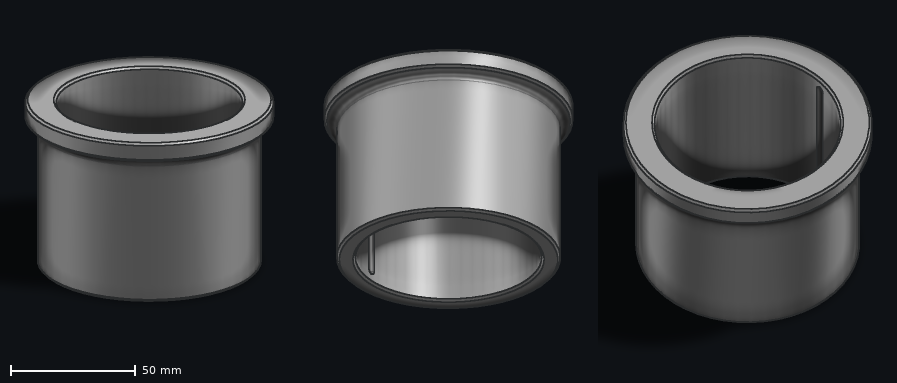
import cadquery as cq

flange_diameter = 100
sleeve_diameter = 90
bore_diameter = 75
height = 70
flange_thickness = 8
edge_chamfer = 1
neck_radius = 3.5

groove_radius = 2
groove_depth = 1.5
groove_end_margin = 4

flange_radius = flange_diameter / 2
sleeve_radius = sleeve_diameter / 2
bore_radius = bore_diameter / 2
groove_center_radius = bore_radius + groove_depth - groove_radius
flange_bottom = height - flange_thickness


def bushing_body():
    """Revolve the half section, with a concave neck under the flange."""
    section = (
        cq.Workplane("XZ")
        .moveTo(bore_radius + edge_chamfer, 0)
        .lineTo(sleeve_radius - edge_chamfer, 0)
        .lineTo(sleeve_radius, edge_chamfer)
        .lineTo(sleeve_radius, flange_bottom - neck_radius)
        .radiusArc((sleeve_radius + neck_radius, flange_bottom), neck_radius)
        .lineTo(flange_radius - edge_chamfer, flange_bottom)
        .lineTo(flange_radius, flange_bottom + edge_chamfer)
        .lineTo(flange_radius, height - edge_chamfer)
        .lineTo(flange_radius - edge_chamfer, height)
        .lineTo(bore_radius + edge_chamfer, height)
        .lineTo(bore_radius, height - edge_chamfer)
        .lineTo(bore_radius, edge_chamfer)
        .close()
    )
    return section.revolve(360, (0, 0, 0), (0, 1, 0))


def bore_groove():
    """Cutter with hemispherical ends, stopping short of both ends of the bore."""
    half_length = height / 2 - groove_end_margin
    half_section = (
        cq.Workplane("XZ", origin=(groove_center_radius, 0, height / 2))
        .moveTo(0, -half_length)
        .radiusArc((groove_radius, groove_radius - half_length), -groove_radius)
        .lineTo(groove_radius, half_length - groove_radius)
        .radiusArc((0, half_length), -groove_radius)
        .close()
    )
    return half_section.revolve(360, (0, 0, 0), (0, 1, 0))


result = bushing_body().cut(bore_groove())